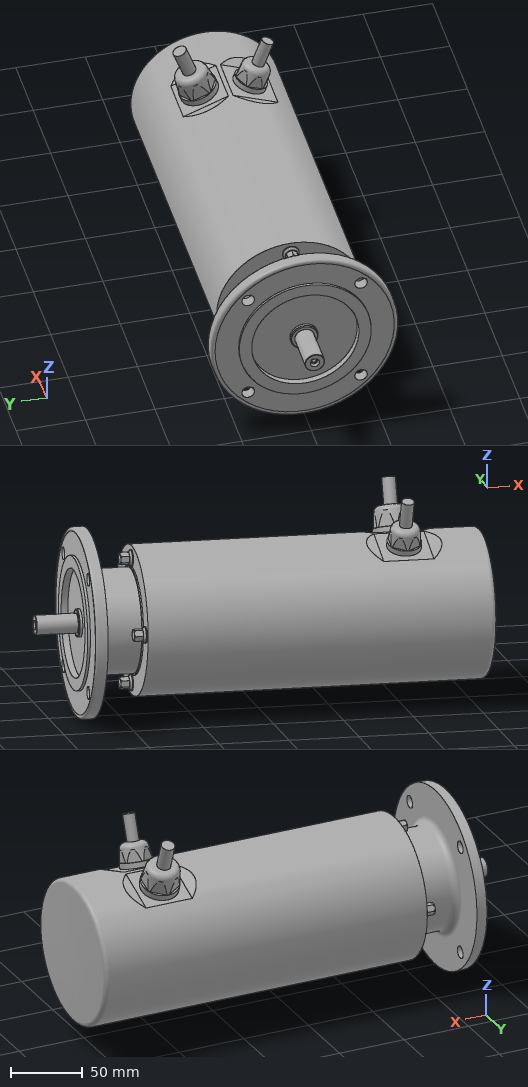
import cadquery as cq
import math

SPIGOT_FRONT = 27.5
RIM_CREST = 29.0
SPIGOT_FLOOR = 32.3
FLANGE_BACK = 37.8
COLLAR_FRONT = 68.5
HOUSING_FRONT = 69.5
HOUSING_EDGE = 318.7
OVERALL_LENGTH = 320.0

FLANGE_DIA = 135.0
FLANGE_FACE_DIA = 129.0
RIM_ROUND = 2.0
SPIGOT_DIA = 95.0
SPIGOT_BORE_DIA = 77.0
BOLT_HOLE_DIA = 9.0
BOLT_CIRCLE_DIA = 115.0
BOLT_COUNT = 4
BOLT_FIRST_ANGLE = 45

NECK_DIA = 75.0
NECK_FILLET = 5.8
COLLAR_DIA = 77.0

HOUSING_DIA = 107.0
HOUSING_EDGE_RADIUS = 3.2

SHAFT_DIA = 14.0
SHAFT_CHAMFER = 0.3
SHAFT_BOSS_DIA = 20.0
SHAFT_BOSS_CHAMFER = 0.5
SHAFT_BOSS_HEIGHT = 2.5
CENTRE_SINK_DIA = 6.7
CENTRE_SINK_HALF_ANGLE = 30
CENTRE_BORE_DIA = 4.5
CENTRE_BORE_DEPTH = 3.2
CENTRE_HOLE_DIA = 3.5
CENTRE_HOLE_DEPTH = 14.0
CENTRE_SINK_DEPTH = (CENTRE_SINK_DIA - CENTRE_BORE_DIA) / 2 / math.tan(math.radians(CENTRE_SINK_HALF_ANGLE))

SCREW_COUNT = 4
SCREW_FIRST_ANGLE = 0
SCREW_CIRCLE_DIA = 89.3
SCREW_TIP = 60.8
SCREW_SKIRT_START = 67.2
SCREW_WASHER_FRONT = 68.8
SCREW_HEX_CORNERS = 9.0
SCREW_SKIRT_DIA = 9.0
SCREW_WASHER_DIA = 12.0
SCREW_TIP_DIA = 8.0
SCREW_TIP_BEVEL = 1.3

PAD_X = 260.0
PAD_ANGLE = 20.7
PAD_HEIGHT = 50.5
PAD_LENGTH = 36.0
PAD_END_RUN = 8.5


def turned(points):
    """Revolve a half outline of (x, radius) points about the motor axis."""
    return cq.Workplane("XY").polyline(points).close().revolve(360, (0, 0, 0), (1, 0, 0))


def rod(x_start, x_end, diameter):
    """Round bar on the motor axis between two stations."""
    return cq.Workplane("YZ").workplane(offset=x_start).circle(diameter / 2).extrude(x_end - x_start)


def around_axis(shape, count, first_angle):
    """Copies of a shape evenly spaced about the motor axis."""
    angles = [first_angle + i * 360 / count for i in range(count)]
    return [shape.rotate((0, 0, 0), (1, 0, 0), angle) for angle in angles]


def make_flange():
    face_r = FLANGE_FACE_DIA / 2
    outer_r = FLANGE_DIA / 2
    crest_r = outer_r - RIM_ROUND
    face_x = RIM_CREST + RIM_ROUND - math.sqrt(RIM_ROUND**2 - (crest_r - face_r) ** 2)
    outline = (
        cq.Workplane("XY")
        .moveTo(face_x, 0)
        .lineTo(face_x, face_r)
        .radiusArc((RIM_CREST + RIM_ROUND, outer_r), RIM_ROUND)
        .lineTo(FLANGE_BACK, outer_r)
        .lineTo(FLANGE_BACK, 0)
        .close()
    )
    flange = outline.revolve(360, (0, 0, 0), (1, 0, 0))
    flange = flange.union(rod(SPIGOT_FRONT, FLANGE_BACK, SPIGOT_DIA))
    flange = flange.cut(rod(SPIGOT_FRONT, SPIGOT_FLOOR, SPIGOT_BORE_DIA))
    hole = rod(SPIGOT_FRONT, FLANGE_BACK, BOLT_HOLE_DIA).translate((0, BOLT_CIRCLE_DIA / 2, 0))
    for bolt_hole in around_axis(hole, BOLT_COUNT, BOLT_FIRST_ANGLE):
        flange = flange.cut(bolt_hole)
    return flange


def make_neck():
    neck_r = NECK_DIA / 2
    outline = (
        cq.Workplane("XY")
        .moveTo(FLANGE_BACK, 0)
        .lineTo(FLANGE_BACK, neck_r + NECK_FILLET)
        .radiusArc((FLANGE_BACK + NECK_FILLET, neck_r), -NECK_FILLET)
        .lineTo(HOUSING_FRONT, neck_r)
        .lineTo(HOUSING_FRONT, 0)
        .close()
    )
    return outline.revolve(360, (0, 0, 0), (1, 0, 0)).union(rod(COLLAR_FRONT, HOUSING_FRONT, COLLAR_DIA))


def make_pad_cutter():
    """Trapezoid prism that mills one pad with sloping ends, at the top of the housing."""
    half_flat = PAD_LENGTH / 2
    rise = HOUSING_DIA / 2 - PAD_HEIGHT
    return (
        cq.Workplane("XZ")
        .polyline([
            (PAD_X - half_flat, PAD_HEIGHT),
            (PAD_X + half_flat, PAD_HEIGHT),
            (PAD_X + half_flat + 2 * PAD_END_RUN, PAD_HEIGHT + 2 * rise),
            (PAD_X - half_flat - 2 * PAD_END_RUN, PAD_HEIGHT + 2 * rise),
        ])
        .close()
        .extrude(HOUSING_DIA / 2, both=True)
    )


def make_housing():
    housing_r = HOUSING_DIA / 2
    dome_rise = OVERALL_LENGTH - HOUSING_EDGE
    dome_radius = (housing_r**2 + dome_rise**2) / (2 * dome_rise)
    outline = (
        cq.Workplane("XY")
        .moveTo(HOUSING_FRONT, 0)
        .lineTo(HOUSING_FRONT, housing_r)
        .lineTo(HOUSING_EDGE, housing_r)
        .radiusArc((OVERALL_LENGTH, 0), dome_radius)
        .close()
    )
    housing = outline.revolve(360, (0, 0, 0), (1, 0, 0))
    rear_edge = cq.selectors.NearestToPointSelector((HOUSING_EDGE, 0, 0))
    housing = housing.edges(rear_edge).fillet(HOUSING_EDGE_RADIUS)
    cutter = make_pad_cutter()
    for side in (-1, 1):
        housing = housing.cut(cutter.rotate((0, 0, 0), (1, 0, 0), side * PAD_ANGLE))
    return housing


def make_shaft():
    shaft = rod(0, FLANGE_BACK, SHAFT_DIA).faces("<X").chamfer(SHAFT_CHAMFER)
    centre_hole = turned([
        (0, 0),
        (0, CENTRE_SINK_DIA / 2),
        (CENTRE_SINK_DEPTH, CENTRE_BORE_DIA / 2),
        (CENTRE_BORE_DEPTH, CENTRE_BORE_DIA / 2),
        (CENTRE_BORE_DEPTH, CENTRE_HOLE_DIA / 2),
        (CENTRE_HOLE_DEPTH, CENTRE_HOLE_DIA / 2),
        (CENTRE_HOLE_DEPTH, 0),
    ])
    boss = rod(SPIGOT_FLOOR - SHAFT_BOSS_HEIGHT, FLANGE_BACK, SHAFT_BOSS_DIA)
    boss = boss.faces("<X").chamfer(SHAFT_BOSS_CHAMFER)
    return shaft.cut(centre_hole).union(boss)


def make_screw():
    """Screw head with a bevelled hexagon and a washer skirt, on the motor axis."""
    hexagon = (
        cq.Workplane("YZ")
        .workplane(offset=SCREW_TIP)
        .polygon(6, SCREW_HEX_CORNERS)
        .extrude(HOUSING_FRONT - SCREW_TIP)
    )
    bevel = turned([
        (SCREW_TIP, 0),
        (SCREW_TIP, SCREW_TIP_DIA / 2),
        (SCREW_TIP + SCREW_TIP_BEVEL, SCREW_HEX_CORNERS / 2),
        (HOUSING_FRONT, SCREW_HEX_CORNERS / 2),
        (HOUSING_FRONT, 0),
    ])
    skirt = turned([
        (SCREW_SKIRT_START, 0),
        (SCREW_SKIRT_START, SCREW_SKIRT_DIA / 2),
        (SCREW_WASHER_FRONT, SCREW_WASHER_DIA / 2),
        (HOUSING_FRONT, SCREW_WASHER_DIA / 2),
        (HOUSING_FRONT, 0),
    ])
    return hexagon.intersect(bevel).union(skirt)


def make_motor():
    motor = make_neck().union(make_flange()).union(make_housing()).union(make_shaft())
    screw = make_screw().translate((0, SCREW_CIRCLE_DIA / 2, 0))
    for placed_screw in around_axis(screw, SCREW_COUNT, SCREW_FIRST_ANGLE):
        motor = motor.union(placed_screw)
    return motor


def make_gland(side, base_dia, base_height, nut_dia, flats, top_dia, height, cable_dia, cable_length):
    """Cable gland with its cable, standing on the pad at side +1 (+Y) or -1 (-Y)."""
    base_r = base_dia / 2
    shoulder_r = flats / 2
    top_r = top_dia / 2
    round_r = shoulder_r - top_r
    nut = (
        cq.Workplane("XZ")
        .moveTo(0, base_height)
        .lineTo(nut_dia / 2, base_height)
        .lineTo(shoulder_r, height - round_r)
        .radiusArc((top_r, height), -round_r)
        .lineTo(0, height)
        .close()
        .revolve(360, (0, 0, 0), (0, 1, 0))
    )
    hexagon = (
        cq.Workplane("XY")
        .polygon(6, flats / math.cos(math.pi / 6))
        .extrude(height)
        .rotate((0, 0, 0), (0, 0, 1), 90)
    )
    base = cq.Workplane("XY").circle(base_r).extrude(base_height)
    cable = cq.Workplane("XY").circle(cable_dia / 2).extrude(height + cable_length)
    gland = base.union(nut.intersect(hexagon)).union(cable)
    return gland.translate((PAD_X, 0, PAD_HEIGHT)).rotate((0, 0, 0), (1, 0, 0), -side * PAD_ANGLE)


motor = make_motor()
large_gland = make_gland(
    side=1,
    base_dia=28.0,
    base_height=4.8,
    nut_dia=27.5,
    flats=24.5,
    top_dia=16.0,
    height=20.8,
    cable_dia=10.0,
    cable_length=20.0,
)
small_gland = make_gland(
    side=-1,
    base_dia=24.3,
    base_height=4.0,
    nut_dia=23.7,
    flats=21.0,
    top_dia=12.0,
    height=18.0,
    cable_dia=9.0,
    cable_length=20.0,
)

result = cq.Compound.makeCompound([motor.val(), large_gland.val(), small_gland.val()])